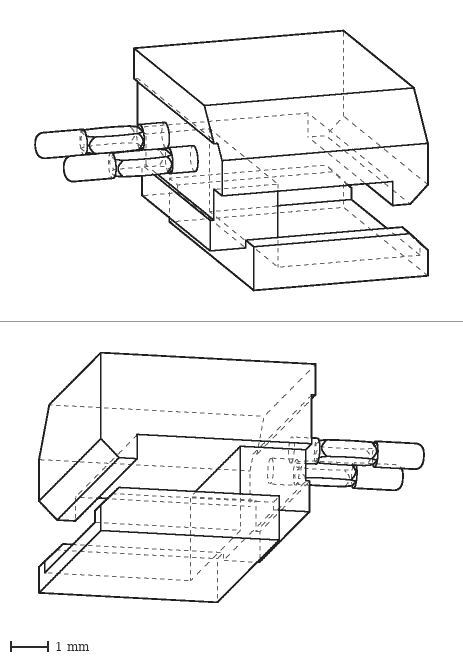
import cadquery as cq
import math


width = 7.4
height = 4.9
depth = 5.89
roof_underside = 2.7
base_top = 1.21
base_front_setback = 1.0
corner_bevel = 1.22
lead_in = 0.5

hook_length = 1.0
hook_underside = 2.03

wall_inset = 0.71
inner_width = width - 2 * wall_inset
wall_rear = 1.9
wall_underside = 1.0

recess_depth = 0.1
lip_height = 0.85

channel_floor = 0.395

pin_pitch = 2.5
pin_height = 3.1
pin_radius = 0.35
pin_tip_round = 0.2
overall_depth = 9.4
pin_length = overall_depth - depth + recess_depth

flat_start = 0.705
flat_length = 1.6
flat_middle = flat_start + flat_length / 2
flat_end = flat_start + flat_length
flat_thickness = 0.46
flat_end_width = 0.73
flat_mid_width = 0.9
flat_end_slope = 32.0


def extrude_profile_across(points, span):
    """Extrude a (Y, Z) outline along X, centred on X = 0."""
    return cq.Workplane("YZ").polyline(points).close().extrude(span / 2, both=True)


def make_roof():
    hook_front = depth - hook_length
    roof = extrude_profile_across(
        [
            (0, roof_underside),
            (hook_front, roof_underside),
            (hook_front, hook_underside),
            (depth - lead_in, hook_underside),
            (depth, hook_underside + lead_in),
            (depth, height),
            (0, height),
        ],
        width,
    )
    return roof.edges("|Y and >X and >Z").chamfer(corner_bevel)


def make_base():
    base = extrude_profile_across(
        [
            (base_front_setback, 0),
            (depth, 0),
            (depth, base_top - lead_in),
            (depth - lead_in, base_top),
            (base_front_setback, base_top),
        ],
        width,
    )
    channel = extrude_profile_across(
        [
            (wall_rear, channel_floor),
            (depth, channel_floor),
            (depth, base_top),
            (wall_rear, base_top),
        ],
        inner_width,
    )
    return base.cut(channel)


def make_front_wall():
    return extrude_profile_across(
        [
            (0, wall_underside),
            (wall_rear, wall_underside),
            (wall_rear, roof_underside),
            (0, roof_underside),
        ],
        inner_width,
    )


def make_front_recess():
    bottom = wall_underside + lip_height
    top = height - lip_height
    return extrude_profile_across(
        [(0, bottom), (recess_depth, bottom), (recess_depth, top), (0, top)],
        width,
    )


def make_housing():
    return make_roof().union(make_base()).union(make_front_wall()).cut(make_front_recess())


def make_round_length(start, length):
    """Plain round length of a pin along Z."""
    return cq.Workplane("XY").workplane(offset=start).circle(pin_radius).extrude(length)


def make_flat():
    """Plate with bowed sides, its corners trimmed by a cone at each end."""
    plate = (
        cq.Workplane("XZ")
        .moveTo(-flat_end_width / 2, flat_start)
        .lineTo(flat_end_width / 2, flat_start)
        .threePointArc((flat_mid_width / 2, flat_middle), (flat_end_width / 2, flat_end))
        .lineTo(-flat_end_width / 2, flat_end)
        .threePointArc((-flat_mid_width / 2, flat_middle), (-flat_end_width / 2, flat_start))
        .close()
        .extrude(flat_thickness / 2, both=True)
    )
    cone_radius = pin_radius + flat_length / 2 * math.tan(math.radians(flat_end_slope))
    envelope = (
        cq.Workplane("XZ")
        .polyline(
            [
                (0, flat_start),
                (pin_radius, flat_start),
                (cone_radius, flat_middle),
                (pin_radius, flat_end),
                (0, flat_end),
            ]
        )
        .close()
        .revolve(360, (0, 0), (0, 1))
    )
    return plate.intersect(envelope)


def make_pin(x):
    """Pin standing on the recessed front face and pointing to -Y."""
    root = make_round_length(0, flat_start)
    tip = make_round_length(flat_end, pin_length - flat_end).faces(">Z").edges().fillet(pin_tip_round)
    pin = root.union(make_flat()).union(tip)
    return pin.rotate((0, 0, 0), (1, 0, 0), 90).translate((x, recess_depth, pin_height))


housing = make_housing()
pins = [make_pin(side * pin_pitch / 2) for side in (-1, 1)]

result = cq.Compound.makeCompound([housing.val(), *[pin.val() for pin in pins]])